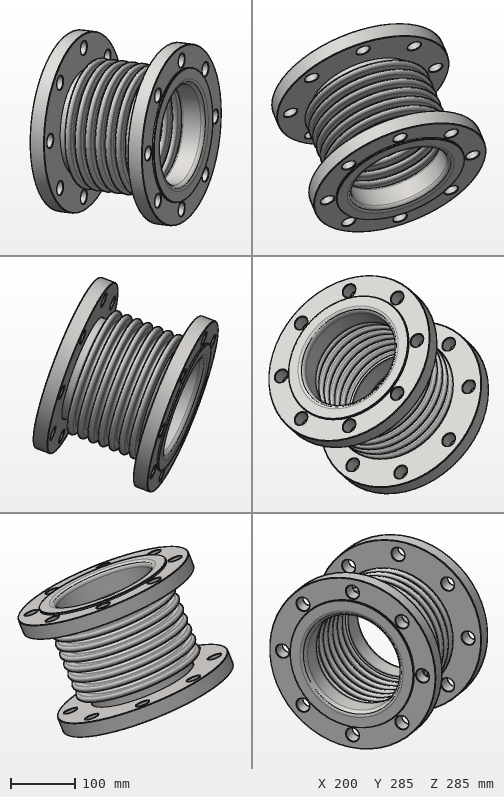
import cadquery as cq
import math

overall_length = 200.0

tube_outer_diameter = 168.5
tube_bore_diameter = 159.3
lip_diameter = 212.0
lip_thickness = 3.0
lip_rim_chamfer = 1.0
mouth_radius = 8.8

convolution_count = 7
convolution_pitch = 17.5
crest_diameter = 206.3
crest_width = 10.0
crest_radius = crest_width / 2
bellows_wall = 1.0
collar_length = 2.5
bellows_half_length = convolution_count * convolution_pitch / 2

flange_diameter = 285
flange_thickness = 24.8
flange_bore_diameter = 170.5
flange_chamfer = 1.0
bolt_count = 8
bolt_circle_diameter = 240.0
bolt_hole_diameter = 22.0
bolt_hole_chamfer = 1.0

half_length = overall_length / 2
lip_back = half_length - lip_thickness
flange_inner_face = lip_back - flange_thickness


def revolve_about_x(profile):
    return profile.close().revolve(360, (0, 0, 0), (1, 0, 0))


def add_convolutions(profile, valley_level, crest_level, crest_arc):
    """Draw the convolutions from -X to +X, starting from the first valley at the valley level."""
    valley_arc = convolution_pitch / 2 - crest_arc
    valley_top = valley_level + valley_arc
    for index in range(convolution_count):
        center = (index - (convolution_count - 1) / 2) * convolution_pitch
        left = center - crest_arc
        right = center + crest_arc
        profile = (
            profile.radiusArc((left, valley_top), -valley_arc)
            .lineTo(left, crest_level - crest_arc)
            .threePointArc((center, crest_level), (right, crest_level - crest_arc))
            .lineTo(right, valley_top)
            .radiusArc((center + convolution_pitch / 2, valley_level), -valley_arc)
        )
    return profile


def make_pipe_envelope():
    """Solid outside shape: lip, tube, convolutions, tube, lip."""
    tube_level = tube_outer_diameter / 2
    lip_level = lip_diameter / 2
    profile = (
        cq.Workplane("XY")
        .moveTo(-half_length, 0)
        .lineTo(-half_length, lip_level - lip_rim_chamfer)
        .lineTo(-half_length + lip_rim_chamfer, lip_level)
        .lineTo(-lip_back, lip_level)
        .lineTo(-lip_back, tube_level)
        .lineTo(-bellows_half_length, tube_level)
    )
    profile = add_convolutions(profile, tube_level, crest_diameter / 2, crest_radius)
    profile = (
        profile.lineTo(lip_back, tube_level)
        .lineTo(lip_back, lip_level)
        .lineTo(half_length - lip_rim_chamfer, lip_level)
        .lineTo(half_length, lip_level - lip_rim_chamfer)
        .lineTo(half_length, 0)
    )
    return revolve_about_x(profile)


def make_pipe_bore():
    """Through bore with rounded mouths and the hollow inside of the convolutions."""
    tube_level = tube_bore_diameter / 2
    mouth_level = tube_level + mouth_radius
    bellows_level = tube_outer_diameter / 2 - bellows_wall
    crest_level = crest_diameter / 2 - bellows_wall
    mouth_depth = half_length - mouth_radius
    profile = (
        cq.Workplane("XY")
        .moveTo(-half_length, 0)
        .lineTo(-half_length, mouth_level)
        .radiusArc((-mouth_depth, tube_level), -mouth_radius)
        .lineTo(-bellows_half_length, tube_level)
        .lineTo(-bellows_half_length, bellows_level)
    )
    profile = add_convolutions(profile, bellows_level, crest_level, crest_radius - bellows_wall)
    profile = (
        profile.lineTo(bellows_half_length, tube_level)
        .lineTo(mouth_depth, tube_level)
        .radiusArc((half_length, mouth_level), -mouth_radius)
        .lineTo(half_length, 0)
    )
    return revolve_about_x(profile)


def make_collar(start_x):
    """Short end of the tube that reaches inside the first valley."""
    collar = cq.Workplane("YZ").circle(tube_outer_diameter / 2).circle(tube_bore_diameter / 2)
    return collar.extrude(collar_length).translate((start_x, 0, 0))


def make_bellows_pipe():
    pipe = make_pipe_envelope().cut(make_pipe_bore())
    for start_x in (-bellows_half_length, bellows_half_length - collar_length):
        pipe = pipe.union(make_collar(start_x))
    return pipe


def make_bolt_hole_cutter():
    """Bolt hole along +X from X = 0, widened by a chamfer at both flange faces."""
    radius = bolt_hole_diameter / 2
    profile = (
        cq.Workplane("XY")
        .lineTo(0, radius + bolt_hole_chamfer)
        .lineTo(bolt_hole_chamfer, radius)
        .lineTo(flange_thickness - bolt_hole_chamfer, radius)
        .lineTo(flange_thickness, radius + bolt_hole_chamfer)
        .lineTo(flange_thickness, 0)
    )
    return revolve_about_x(profile)


def make_flange(start_x):
    """Loose flange that spans from start_x toward +X."""
    flange = cq.Workplane("YZ").circle(flange_diameter / 2).extrude(flange_thickness)
    flange = flange.edges().chamfer(flange_chamfer)
    bore = cq.Workplane("YZ").circle(flange_bore_diameter / 2).extrude(flange_thickness)
    flange = flange.cut(bore)
    hole = make_bolt_hole_cutter()
    for index in range(bolt_count):
        angle = 2 * math.pi * index / bolt_count
        y = bolt_circle_diameter / 2 * math.cos(angle)
        z = bolt_circle_diameter / 2 * math.sin(angle)
        flange = flange.cut(hole.translate((0, y, z)))
    return flange.translate((start_x, 0, 0))


bellows_pipe = make_bellows_pipe()
flanges = [make_flange(start_x) for start_x in (-lip_back, flange_inner_face)]
flange_solids = [flange.solids().val() for flange in flanges]

result = cq.Compound.makeCompound([bellows_pipe.solids().val(), *flange_solids])